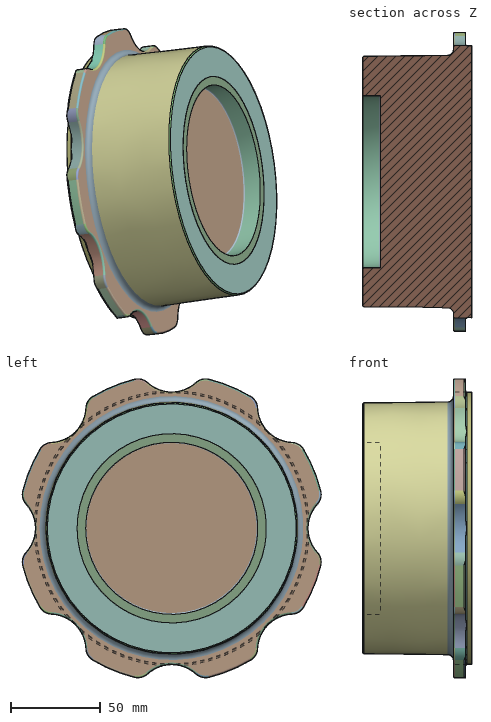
import cadquery as cq
import math

total_length = 61.0
flange_front = 50.6
flange_back = 57.5

plug_end_radius = 70.1
plug_draft = math.radians(0.6)
plug_end_chamfer = 0.7
plug_root_fillet = 3.0
plug_root_radius = plug_end_radius + flange_front * math.tan(plug_draft)

grip_radius = 85.73
scallop_count = 8
scallop_radius = 20.0
lobe_corner_radius = 8.0
grip_edge_fillet = 1.0

collar_radius = 152.0 / 2
scallop_clearance = 0.05
scallop_floor = collar_radius + scallop_clearance
collar_root_fillet = 0.8
collar_edge_chamfer = 0.3

mouth_step_radius = 105.6 / 2
mouth_step_depth = 0.1
recess_radius = 96.0 / 2
recess_depth = 10.0
recess_floor_fillet = 0.6


def polar(radius, angle):
    """Point in a plane across the axis."""
    return (radius * math.cos(angle), radius * math.sin(angle))


def turned(profile):
    """Revolve an (axial, radial) profile about the X axis."""
    return profile.close().revolve(360, (0, 0, 0), (1, 0, 0))


def make_plug():
    chamfer_radius = plug_end_radius - plug_end_chamfer
    return turned(
        cq.Workplane("XY")
        .lineTo(0, chamfer_radius)
        .lineTo(plug_end_chamfer, plug_end_radius)
        .lineTo(flange_front, plug_root_radius)
        .lineTo(total_length, plug_root_radius)
        .lineTo(total_length, 0)
    )


def grip_outline():
    """Lobed outline: scallops joined to the outer circle by rounded corners."""
    pitch = 2 * math.pi / scallop_count
    scallop_center = scallop_floor + scallop_radius
    corner_center = grip_radius - lobe_corner_radius
    center_gap = scallop_radius + lobe_corner_radius
    corner_angle = math.acos(
        (corner_center**2 + scallop_center**2 - center_gap**2) / (2 * corner_center * scallop_center)
    )
    corner_x, corner_y = polar(corner_center, corner_angle)
    share = lobe_corner_radius / center_gap
    joint_x = corner_x + (scallop_center - corner_x) * share
    joint_y = corner_y * (1 - share)
    joint_radius = math.hypot(joint_x, joint_y)
    joint_angle = math.atan2(joint_y, joint_x)
    toward_scallop = math.atan2(-corner_y, scallop_center - corner_x)
    middle_direction = (toward_scallop + corner_angle) / 2
    middle_x = corner_x + lobe_corner_radius * math.cos(middle_direction)
    middle_y = corner_y + lobe_corner_radius * math.sin(middle_direction)
    middle_radius = math.hypot(middle_x, middle_y)
    middle_angle = math.atan2(middle_y, middle_x)

    outline = cq.Workplane("YZ", origin=(flange_front, 0, 0)).moveTo(*polar(joint_radius, -joint_angle))
    for index in range(scallop_count):
        axis = index * pitch
        following = axis + pitch
        outline = (
            outline.threePointArc(polar(scallop_floor, axis), polar(joint_radius, axis + joint_angle))
            .threePointArc(polar(middle_radius, axis + middle_angle), polar(grip_radius, axis + corner_angle))
            .threePointArc(polar(grip_radius, axis + pitch / 2), polar(grip_radius, following - corner_angle))
            .threePointArc(
                polar(middle_radius, following - middle_angle), polar(joint_radius, following - joint_angle)
            )
        )
    return outline.close()


def make_grip():
    prism = grip_outline().extrude(total_length - flange_front)
    prism = prism.faces("<X").edges().fillet(grip_edge_fillet)
    diagonal = math.sqrt(0.5)
    rim_back = grip_radius - grip_edge_fillet
    rim_start = flange_back - grip_edge_fillet
    root_top = collar_radius + collar_root_fillet
    root_end = flange_back + collar_root_fillet
    envelope = turned(
        cq.Workplane("XY")
        .moveTo(flange_front, 0)
        .lineTo(flange_front, grip_radius)
        .lineTo(rim_start, grip_radius)
        .threePointArc(
            (rim_start + grip_edge_fillet * diagonal, rim_back + grip_edge_fillet * diagonal),
            (flange_back, rim_back),
        )
        .lineTo(flange_back, root_top)
        .threePointArc(
            (root_end - collar_root_fillet * diagonal, root_top - collar_root_fillet * diagonal),
            (root_end, collar_radius),
        )
        .lineTo(root_end, 0)
    )
    return prism.intersect(envelope)


def make_collar():
    collar_length = total_length - flange_back
    collar = cq.Workplane("YZ", origin=(flange_back, 0, 0)).circle(collar_radius).extrude(collar_length)
    return collar.faces(">X").edges().chamfer(collar_edge_chamfer)


def make_recess():
    """Recess with a shallow step around its mouth."""
    step = cq.Workplane("YZ").circle(mouth_step_radius).extrude(mouth_step_depth)
    recess = cq.Workplane("YZ").circle(recess_radius).extrude(recess_depth)
    recess = recess.faces(">X").edges().fillet(recess_floor_fillet)
    return recess.union(step)


def fillet_plug_root(body):
    """Round the corner where the plug meets the front of the grip."""
    margin = 0.1
    reach = plug_root_radius + margin
    root_edge = cq.selectors.BoxSelector(
        (flange_front - margin, -reach, -reach), (flange_front + margin, reach, reach), boundingbox=True
    )
    return body.edges(root_edge).fillet(plug_root_fillet)


body = fillet_plug_root(make_plug().union(make_grip()))
result = body.union(make_collar()).cut(make_recess())